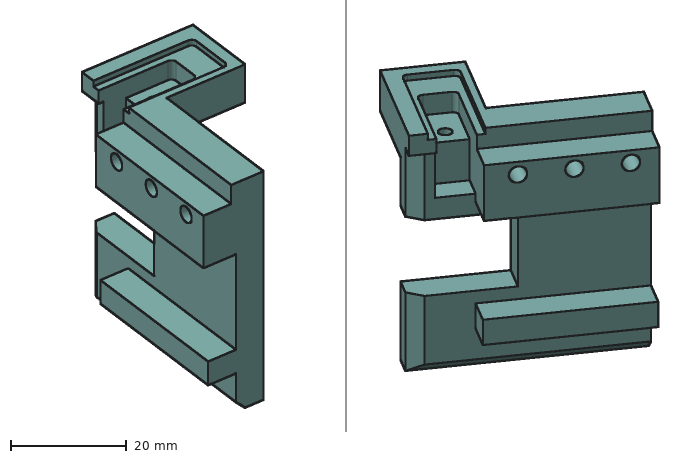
import cadquery as cq


length = 43.0
height = 48.0
overall_depth = 30.0
plate_thickness = 6.0
notch_length = 19.5
notch_top = 17.55
notch_bottom = 32.5
bevel_depth = 1.95
side_bevel_width = 3.0
bottom_bevel_height = 1.95

strip_height = 4.0
strip_thickness = 7.0

arm_width = 15.05
arm_height = 8.0
arm_reach = 17.0

block_left = 12.0
block_bottom = 15.0
block_front = overall_depth - arm_reach
rib_top = 35.0
rib_bottom = 40.0
rib_front = 12.0
hole_diameter = 3.2
hole_count = 3
hole_pitch = 10.0
first_hole_x = 18.0
hole_depth_from_top = 6.5

slot_width = 7.15
slot_center = block_left - slot_width / 2
slot_depth = 5.25
slot_back_wall = 8.0
recess_width = 10.2
recess_depth = 1.2
recess_back_wall = 2.5
pocket_corner_radius = 1.0
drop_depth = 13.35
drop_back = 1.1
pin_diameter = 2.5
pin_depth = 1.5
pin_from_arm_back = 14.6


def box(x_range, y_range, z_range):
    """Box spanning the given ranges."""
    lows, highs = zip(x_range, y_range, z_range)
    sizes = [high - low for low, high in zip(lows, highs)]
    return cq.Workplane("XY").box(*sizes, centered=False).translate(lows)


def open_pocket(width, depth, back_wall):
    """Pocket with rounded back corners, open through the front of the strip."""
    x_range = (slot_center - width / 2, slot_center + width / 2)
    y_range = (-strip_thickness, arm_reach - back_wall)
    pocket = box(x_range, y_range, (-depth, 0))
    return pocket.edges("|Z and >Y").fillet(pocket_corner_radius)


def make_plate():
    plate = box((0, length), (-plate_thickness, 0), (-height, 0))
    plate = plate.cut(box((0, notch_length), (-plate_thickness, 0), (-notch_bottom, -notch_top)))
    bevel_back = bevel_depth - plate_thickness
    side_bevel = (
        cq.Workplane("XY", origin=(0, 0, -height))
        .moveTo(0, bevel_back)
        .lineTo(0, -plate_thickness)
        .lineTo(side_bevel_width, -plate_thickness)
        .close()
        .extrude(height)
    )
    bottom_bevel = (
        cq.Workplane("YZ")
        .moveTo(bevel_back, -height)
        .lineTo(-plate_thickness, -height)
        .lineTo(-plate_thickness, bottom_bevel_height - height)
        .close()
        .extrude(length)
    )
    return plate.cut(side_bevel).cut(bottom_bevel)


def make_block_holes():
    first_hole = (
        cq.Workplane("XZ")
        .center(first_hole_x, -hole_depth_from_top)
        .circle(hole_diameter / 2)
        .extrude(block_front)
    )
    holes = first_hole
    for index in range(1, hole_count):
        holes = holes.union(first_hole.translate((index * hole_pitch, 0, 0)))
    return holes


def make_pocket():
    recess = open_pocket(recess_width, recess_depth, recess_back_wall)
    slot = open_pocket(slot_width, slot_depth, slot_back_wall)
    slot_range = (slot_center - slot_width / 2, slot_center + slot_width / 2)
    drop = box(slot_range, (-strip_thickness, -drop_back), (-drop_depth, 0))
    pin_hole = (
        cq.Workplane("XY", origin=(slot_center, arm_reach - pin_from_arm_back, -slot_depth))
        .circle(pin_diameter / 2)
        .extrude(-pin_depth)
    )
    return recess.union(slot).union(drop).union(pin_hole)


strip = box((0, length), (-strip_thickness, 0), (-strip_height, 0))
arm = box((0, arm_width), (0, arm_reach), (-arm_height, 0))
block = box((block_left, length), (-block_front, 0), (-block_bottom, -strip_height))
rib = box((block_left, length), (-rib_front, 0), (-rib_bottom, -rib_top))

body = make_plate().union(strip).union(arm).union(block).union(rib)
result = body.cut(make_block_holes()).cut(make_pocket())